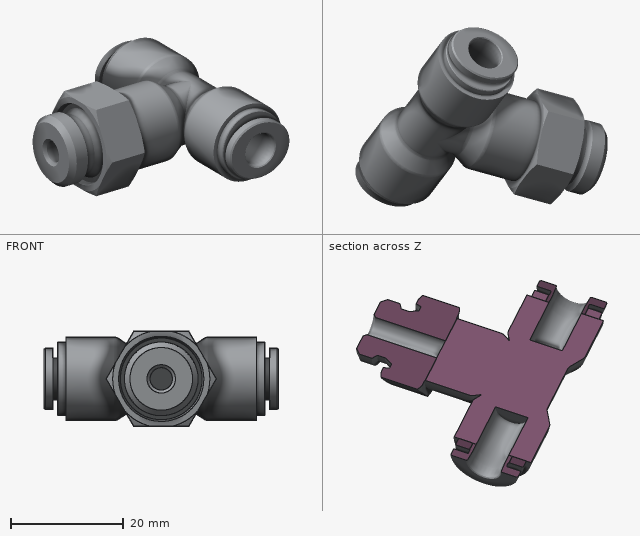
import cadquery as cq
import math


run_half_length = 20.95
branch_length = 31.0

barrel_diameter = 14.9
waist_diameter = 11.2
arm_length = 17.0
shoulder_start = 5.0
shoulder_end = 8.05
shoulder_blend_radius = 1.1

collar_diameter = 13.15
collar_length = 1.5
collar_chamfer = 0.13

button_width = 13.07
button_height = 10.98
button_flange_thickness = 1.6
button_neck_fillet = 0.13
button_chamfer = 0.25
button_neck_diameter = 7.5
tube_bore_diameter = 6.2
button_mouth_diameter = 6.45
button_mouth_depth = 2.25
button_mouth_chamfer = 0.15

hex_across_flats = 17.0
hex_height = 7.95
hex_face_diameter = 17.35
hex_bevel_depth = 0.4
thread_diameter = 13.15
thread_length = 3.45
thread_relief_diameter = 11.2
thread_runout_length = 0.63
seal_recess_outer_diameter = 15.2
seal_recess_floor_diameter = 14.6
seal_recess_depth = 1.05
root_cone_length = 1.5
root_cone_diameter = 12.82
stud_bore_diameter = 4.0
stud_mouth_diameter = 5.05
stud_mouth_depth = 0.55

socket_depth = arm_length - shoulder_end
barrel_radius = barrel_diameter / 2
waist_radius = waist_diameter / 2


def make_arm():
    """Stepped arm from the origin along +X, with a blended conical shoulder."""
    profile = [
        (0, 0),
        (0, waist_radius),
        (shoulder_start, waist_radius),
        (shoulder_end, barrel_radius),
        (arm_length, barrel_radius),
        (arm_length, 0),
    ]
    arm = cq.Workplane("XY").polyline(profile).close().revolve(360, (0, 0, 0), (1, 0, 0))
    between_ends = cq.selectors.BoxSelector(
        (shoulder_start / 2, -barrel_radius, -barrel_radius),
        ((shoulder_end + arm_length) / 2, barrel_radius, barrel_radius),
    )
    return arm.edges("%CIRCLE").edges(between_ends).fillet(shoulder_blend_radius)


def make_tee():
    """Housing with a blind tube socket in each end of the run."""
    run_arm = make_arm()
    branch_arm = run_arm.rotate((0, 0, 0), (0, 0, 1), -90)
    tee = run_arm.union(run_arm.mirror("YZ")).union(branch_arm)
    socket = (
        cq.Workplane("YZ", origin=(arm_length - socket_depth, 0, 0))
        .circle(tube_bore_diameter / 2)
        .extrude(socket_depth)
    )
    return tee.cut(socket).cut(socket.mirror("YZ"))


def make_collar():
    """Ring on the +X end face of the housing, around the button neck."""
    end_face = cq.Workplane("YZ", origin=(arm_length, 0, 0))
    ring = end_face.circle(collar_diameter / 2).extrude(collar_length)
    ring = ring.faces(">X").edges().chamfer(collar_chamfer)
    opening = end_face.circle(button_neck_diameter / 2).extrude(collar_length)
    return ring.cut(opening)


def make_button_bore():
    """Tube passage of the +X button: chamfered, slightly tapered mouth, then straight."""
    bore_radius = tube_bore_diameter / 2
    mouth_radius = button_mouth_diameter / 2
    profile = [
        (arm_length, 0),
        (arm_length, bore_radius),
        (run_half_length - button_mouth_depth, bore_radius),
        (run_half_length - button_mouth_chamfer, mouth_radius),
        (run_half_length, mouth_radius + button_mouth_chamfer),
        (run_half_length, 0),
    ]
    return cq.Workplane("XY").polyline(profile).close().revolve(360, (0, 0, 0), (1, 0, 0))


def make_button():
    """Release button on +X: oval flange on a round hollow neck."""
    flange_back = run_half_length - button_flange_thickness
    flange = (
        cq.Workplane("YZ", origin=(flange_back, 0, 0))
        .ellipse(button_width / 2, button_height / 2)
        .extrude(button_flange_thickness)
        .faces(">X").edges().chamfer(button_chamfer)
    )
    neck = (
        cq.Workplane("YZ", origin=(arm_length, 0, 0))
        .circle(button_neck_diameter / 2)
        .extrude(flange_back - arm_length)
    )
    button = flange.union(neck)
    button = button.edges("%CIRCLE").edges(">X").fillet(button_neck_fillet)
    return button.cut(make_button_bore())


def revolve_on_branch(profile):
    """Revolve (radius, distance along the branch) points about the branch axis."""
    points = [(radius, -distance) for radius, distance in profile]
    return cq.Workplane("XY").polyline(points).close().revolve(360, (0, 0, 0), (0, 1, 0))


def make_hexagon(hex_start, hex_end):
    """Hexagon with corners on X, its corners bevelled at both faces."""
    corner_diameter = hex_across_flats / math.cos(math.pi / 6)
    hexagon = (
        cq.Workplane("XZ", origin=(0, -hex_start, 0))
        .polygon(6, corner_diameter)
        .extrude(hex_height)
    )
    corner_radius = corner_diameter / 2
    face_radius = hex_face_diameter / 2
    bevel_envelope = revolve_on_branch([
        (0, hex_start),
        (face_radius, hex_start),
        (corner_radius, hex_start + hex_bevel_depth),
        (corner_radius, hex_end - hex_bevel_depth),
        (face_radius, hex_end),
        (0, hex_end),
    ])
    return hexagon.intersect(bevel_envelope)


def make_stud():
    """Hexagon with a sealing recess, a relieved thread and a through bore."""
    hex_start = arm_length
    hex_end = hex_start + hex_height
    recess_floor = hex_end - seal_recess_depth
    relief_radius = thread_relief_diameter / 2
    thread_radius = thread_diameter / 2
    thread_tip_chamfer = thread_radius - relief_radius
    thread_start = branch_length - thread_length

    recess = revolve_on_branch([
        (0, recess_floor),
        (seal_recess_floor_diameter / 2, recess_floor),
        (seal_recess_outer_diameter / 2, hex_end),
        (0, hex_end),
    ])
    spigot = revolve_on_branch([
        (0, recess_floor),
        (root_cone_diameter / 2, recess_floor),
        (relief_radius, recess_floor + root_cone_length),
        (relief_radius, thread_start - thread_runout_length),
        (thread_radius, thread_start),
        (thread_radius, branch_length - thread_tip_chamfer),
        (relief_radius, branch_length),
        (0, branch_length),
    ])
    stud = make_hexagon(hex_start, hex_end).cut(recess).union(spigot)

    bore_radius = stud_bore_diameter / 2
    mouth_radius = stud_mouth_diameter / 2
    bore = revolve_on_branch([
        (0, hex_start),
        (bore_radius, hex_start),
        (bore_radius, branch_length - stud_mouth_depth),
        (mouth_radius, branch_length),
        (0, branch_length),
    ])
    return stud.cut(bore)


tee = make_tee()
stud = make_stud()
collar = make_collar()
button = make_button()

bodies = [tee.solids().val(), stud.solids().val()]
for end_part in (collar, button):
    for body in (end_part, end_part.mirror("YZ")):
        bodies.append(body.solids().val())

result = cq.Compound.makeCompound(bodies)